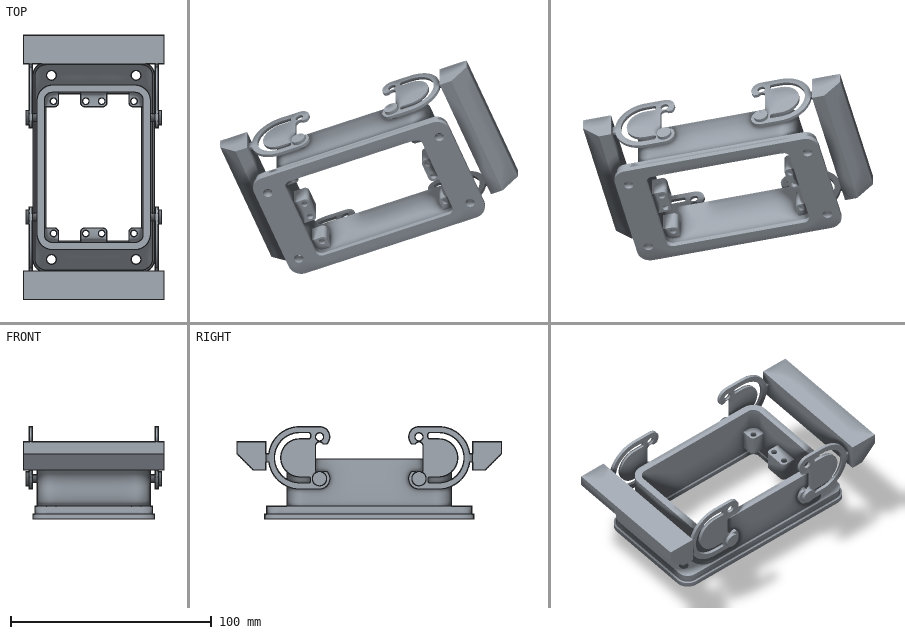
import cadquery as cq
import math

LOWER_LENGTH, LOWER_WIDTH = 104.2, 60.7
LOWER_TOP = 2.5
LOWER_CORNER = 6.6
UPPER_INSET = 1.0
UPPER_TOP = 6.5
LIP_LENGTH, LIP_WIDTH = 73.2, 47.4
LIP_CORNER = 3.3
BOLT_X, BOLT_Y = 21.0, 45.8
BOLT_RADIUS = 2.4

HOOD_LENGTH, HOOD_WIDTH = 81.9, 56.3
HOOD_TOP = 30.0
HOOD_CORNER = 7.6
WALL = 3.5
CAVITY_LENGTH = HOOD_LENGTH - 2 * WALL
CAVITY_WIDTH = HOOD_WIDTH - 2 * WALL
WALL_MIDDLE_X = (HOOD_WIDTH - WALL) / 2
WALL_MIDDLE_Y = (HOOD_LENGTH - WALL) / 2

POST_BOTTOM, POST_TOP = 7.0, 17.5
POST_FACE_Y = 30.1
POST_CORNER = 2.1
CORNER_POST_X = 17.5
MIDDLE_POST_HALF = 6.6
SCREW_Y = 32.9
CORNER_SCREW_X, MIDDLE_SCREW_X = 20.0, 4.0
SCREW_RADIUS = 1.6

LATCH_Y, LATCH_Z = 34.6, 30.5
LATCH_RADIUS = 15.5
LATCH_INNER_X, LATCH_OUTER_X = 30.5, 32.1
HOOK_RADIUS = 5.1
PIN_RADIUS = 2.0
PIVOT_Y = 24.7
PIVOT_RISE = LATCH_RADIUS - HOOK_RADIUS
HEAD_RADIUS = 3.5
HEAD_OUTER_X = 33.8
HOOK_TIP_RISE = 6.8
NOTCH_RISE = 5.9
SLOT_OUTER, SLOT_INNER = 12.5, 9.5
SLOT_END_Y = 29.2
SLOT_CORNER = 0.9

TOTAL_LENGTH = 131.6
HANDLE_WIDTH = 70.0
HANDLE_DEPTH = 14.3
HANDLE_TOP, HANDLE_BOTTOM = 38.5, 24.3
HANDLE_CHAMFER = 8.2
STEM_HALF_HEIGHT = 2.1


def rounded_block(width, length, bottom, top, corner):
    block = cq.Workplane("XY", origin=(0, 0, bottom)).rect(width, length).extrude(top - bottom)
    return block.edges("|Z").fillet(corner)


def with_mirror(shape, plane):
    return shape.union(shape.mirror(plane))


def make_base():
    lower = rounded_block(LOWER_WIDTH, LOWER_LENGTH, 0, LOWER_TOP, LOWER_CORNER)
    upper = rounded_block(
        LOWER_WIDTH - 2 * UPPER_INSET,
        LOWER_LENGTH - 2 * UPPER_INSET,
        LOWER_TOP,
        UPPER_TOP,
        LOWER_CORNER - UPPER_INSET,
    )
    bolt_holes = (
        cq.Workplane("XY")
        .rect(2 * BOLT_X, 2 * BOLT_Y, forConstruction=True)
        .vertices()
        .circle(BOLT_RADIUS)
        .extrude(UPPER_TOP)
    )
    hood = rounded_block(HOOD_WIDTH, HOOD_LENGTH, LOWER_TOP, HOOD_TOP, HOOD_CORNER)
    cavity = rounded_block(CAVITY_WIDTH, CAVITY_LENGTH, LOWER_TOP, HOOD_TOP, HOOD_CORNER - WALL)
    lip_opening = rounded_block(LIP_WIDTH, LIP_LENGTH, 0, LOWER_TOP, LIP_CORNER)
    return lower.union(upper).union(hood).cut(bolt_holes).cut(cavity).cut(lip_opening)


def make_post(x_start, x_end, rounded_edges):
    """Post from its free face to the middle of the short wall."""
    post = cq.Workplane("XY").box(
        x_end - x_start, WALL_MIDDLE_Y - POST_FACE_Y, POST_TOP - POST_BOTTOM, centered=False
    )
    post = post.translate((x_start, POST_FACE_Y, POST_BOTTOM))
    return post.faces("<Y").edges(rounded_edges).fillet(POST_CORNER)


def make_posts():
    """All posts and their screw holes, kept inside the outline of the hood."""
    corner_post = make_post(CORNER_POST_X, WALL_MIDDLE_X, "<X")
    middle_post = make_post(-MIDDLE_POST_HALF, MIDDLE_POST_HALF, "|Z")
    hood_envelope = rounded_block(HOOD_WIDTH, HOOD_LENGTH, 0, HOOD_TOP, HOOD_CORNER)
    end_posts = with_mirror(corner_post, "YZ").union(middle_post).intersect(hood_envelope)
    screw_spots = [(x, SCREW_Y) for x in (-CORNER_SCREW_X, -MIDDLE_SCREW_X, MIDDLE_SCREW_X, CORNER_SCREW_X)]
    screw_holes = cq.Workplane("XY").pushPoints(screw_spots).circle(SCREW_RADIUS).extrude(POST_TOP)
    return with_mirror(end_posts.cut(screw_holes), "XZ")


def latch_sketch():
    """Sketch plane on the inner face of a latch plate, centred on its round back."""
    return cq.Workplane("YZ", origin=(LATCH_INNER_X, LATCH_Y, LATCH_Z))


def make_latch_plate():
    thickness = LATCH_OUTER_X - LATCH_INNER_X
    pivot = PIVOT_Y - LATCH_Y
    front_edge = pivot + PIN_RADIUS
    hook_tip = pivot - math.sqrt(HOOK_RADIUS**2 - (PIVOT_RISE - HOOK_TIP_RISE) ** 2)
    notch_end = pivot - math.sqrt(PIN_RADIUS**2 - (HOOK_TIP_RISE - NOTCH_RISE) ** 2)
    notch_crown = NOTCH_RISE + PIN_RADIUS
    plate = (
        latch_sketch()
        .moveTo(0, LATCH_RADIUS)
        .lineTo(pivot, LATCH_RADIUS)
        .threePointArc((pivot - HOOK_RADIUS, PIVOT_RISE), (hook_tip, HOOK_TIP_RISE))
        .lineTo(notch_end, HOOK_TIP_RISE)
        .threePointArc((pivot, notch_crown), (front_edge, NOTCH_RISE))
        .lineTo(front_edge, -NOTCH_RISE)
        .threePointArc((pivot, -notch_crown), (notch_end, -HOOK_TIP_RISE))
        .lineTo(hook_tip, -HOOK_TIP_RISE)
        .threePointArc((pivot - HOOK_RADIUS, -PIVOT_RISE), (pivot, -LATCH_RADIUS))
        .lineTo(0, -LATCH_RADIUS)
        .threePointArc((LATCH_RADIUS, 0), (0, LATCH_RADIUS))
        .close()
        .extrude(thickness)
    )
    slot_end = SLOT_END_Y - LATCH_Y
    slot = (
        latch_sketch()
        .moveTo(slot_end, SLOT_OUTER)
        .lineTo(0, SLOT_OUTER)
        .threePointArc((SLOT_OUTER, 0), (0, -SLOT_OUTER))
        .lineTo(slot_end, -SLOT_OUTER)
        .lineTo(slot_end, -SLOT_INNER)
        .lineTo(0, -SLOT_INNER)
        .threePointArc((SLOT_INNER, 0), (0, SLOT_INNER))
        .lineTo(slot_end, SLOT_INNER)
        .close()
        .extrude(thickness)
    )
    slot = slot.edges("|X").edges("<Y").fillet(SLOT_CORNER)
    upper_hole = latch_sketch().center(pivot, PIVOT_RISE).circle(PIN_RADIUS).extrude(thickness)
    return plate.cut(slot).cut(upper_hole)


def make_pivot():
    """Pin from the hood wall through the plate, with a round head outside."""
    pivot_z = LATCH_Z - PIVOT_RISE
    pin = (
        cq.Workplane("YZ", origin=(WALL_MIDDLE_X, PIVOT_Y, pivot_z))
        .circle(PIN_RADIUS)
        .extrude(HEAD_OUTER_X - WALL_MIDDLE_X)
    )
    head = (
        cq.Workplane("YZ", origin=(LATCH_OUTER_X, PIVOT_Y, pivot_z))
        .circle(HEAD_RADIUS)
        .extrude(HEAD_OUTER_X - LATCH_OUTER_X)
    )
    return pin.union(head)


def make_stem():
    """Bridge from the round back of the plate into the handle."""
    stem_start = (SLOT_OUTER + LATCH_RADIUS) / 2
    stem_end = TOTAL_LENGTH / 2 - HANDLE_DEPTH / 2 - LATCH_Y
    return (
        latch_sketch()
        .center((stem_start + stem_end) / 2, 0)
        .rect(stem_end - stem_start, 2 * STEM_HALF_HEIGHT)
        .extrude(LATCH_OUTER_X - LATCH_INNER_X)
    )


def make_handle():
    inner_y = TOTAL_LENGTH / 2 - HANDLE_DEPTH
    handle = cq.Workplane("XY").box(
        HANDLE_WIDTH, HANDLE_DEPTH, HANDLE_TOP - HANDLE_BOTTOM, centered=(True, False, False)
    )
    handle = handle.translate((0, inner_y, HANDLE_BOTTOM))
    return handle.faces(">Y").edges("<Z").chamfer(HANDLE_CHAMFER)


latch = make_latch_plate().union(make_pivot()).union(make_stem())
locking_lever = with_mirror(latch, "YZ").union(make_handle())
result = make_base().union(make_posts()).union(with_mirror(locking_lever, "XZ"))